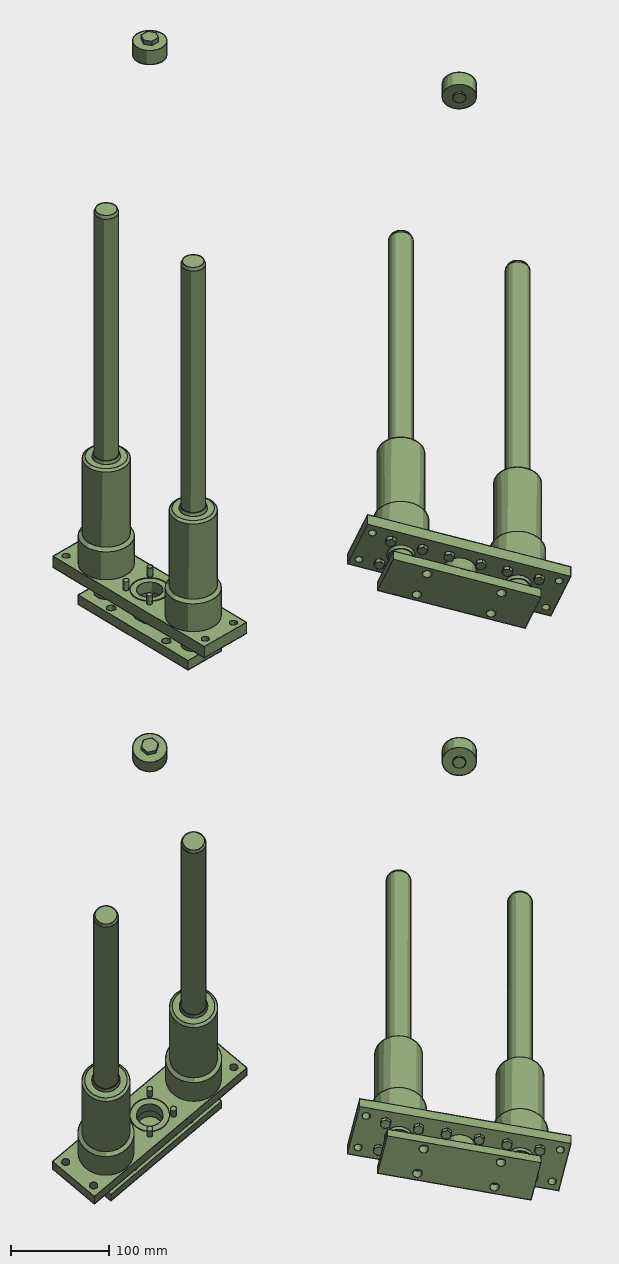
import cadquery as cq

total_height = 742.5
rod_offset = 63.0
rod_axes = (-rod_offset, rod_offset)
rod_diameter = 25.0

yoke_length = 159.5
yoke_width = 47.5
yoke_thickness = 12.0
yoke_hole_diameter = 10.0
yoke_hole_spacing_x = 80.0
yoke_hole_spacing_y = 31.0

rod_top = 493.0
rod_tip_diameter = 22.0
rod_tip_height = 4.0
coupling_diameter = 35.0
coupling_bottom = 18.5
coupling_recess_depth = 10.5
coupling_neck_diameter = 21.0

plate_length = 220.0
plate_width = 60.0
plate_thickness = 14.0
plate_bottom = 34.0
plate_top = plate_bottom + plate_thickness
plate_hole_diameter = 8.0
plate_hole_spacing_x = 202.0
plate_hole_spacing_y = 40.0
center_bore_diameter = 27.0
center_recess_diameter = 40.0
center_recess_depth = 1.0

collar_diameter = 57.0
collar_top = 86.0
collar_bevel_height = 3.0
housing_diameter = 49.0
housing_top = 183.0
housing_bevel_height = 2.0
housing_bevel_width = 3.0

wiper_base_diameter = 29.0
wiper_tip_diameter = 27.0
wiper_height = 4.0

bolt_spacing = 34.0
bolt_head_across_flats = 10.0
bolt_head_height = 4.5
bolt_shank_diameter = 6.0
bolt_shank_top = 59.5

joint_diameter = 35.0
joint_hexagon_across_flats = 15.5
joint_hexagon_height = 5.0
joint_boss_diameter = 13.0
joint_boss_height = 2.0
joint_body_height = 18.0


def cylinder(diameter, bottom, top, x=0):
    """Vertical cylinder between two heights."""
    return cq.Workplane("XY", origin=(x, 0, bottom)).circle(diameter / 2).extrude(top - bottom)


def cone(bottom_diameter, top_diameter, bottom, top, x=0):
    """Vertical truncated cone between two heights."""
    solid = cq.Solid.makeCone(bottom_diameter / 2, top_diameter / 2, top - bottom, cq.Vector(x, 0, bottom))
    return cq.Workplane(obj=solid)


def hexagon(across_flats, height):
    """Hexagonal prism on the origin with two of its flats facing +X and -X."""
    return cq.Workplane("XY").polygon(6, across_flats, circumscribed=True).extrude(height)


def plate(length, width, bottom, thickness):
    """Rectangular plate centred on the Z axis."""
    return (
        cq.Workplane("XY", origin=(0, 0, bottom))
        .rect(length, width)
        .extrude(thickness)
    )


def drill_corners(body, spacing_x, spacing_y, diameter):
    """Four through holes at the corners of a rectangle."""
    return (
        body.faces(">Z")
        .workplane(origin=(0, 0, 0))
        .rect(spacing_x, spacing_y, forConstruction=True)
        .vertices()
        .hole(diameter)
    )


def beveled_cylinder(diameter, bottom, top, bevel_width, bevel_height, x):
    """Vertical cylinder with a bevel around its top edge."""
    shoulder = top - bevel_height
    bevel = cone(diameter, diameter - 2 * bevel_width, shoulder, top, x)
    return cylinder(diameter, bottom, shoulder, x).union(bevel)


def make_housing(x):
    """Collar, tube and two wiper rings of one guide, still without its bore."""
    collar_bevel_width = (collar_diameter - housing_diameter) / 2
    collar = beveled_cylinder(
        collar_diameter, plate_top, collar_top, collar_bevel_width, collar_bevel_height, x
    )
    tube = beveled_cylinder(
        housing_diameter, collar_top, housing_top, housing_bevel_width, housing_bevel_height, x
    )
    upper_wiper = cone(wiper_base_diameter, wiper_tip_diameter, housing_top, housing_top + wiper_height, x)
    lower_wiper = cone(wiper_tip_diameter, wiper_base_diameter, plate_bottom - wiper_height, plate_bottom, x)
    return collar.union(tube).union(upper_wiper).union(lower_wiper)


def bolt_positions(x):
    """Corners of the square bolt pattern centred on X = x."""
    half = bolt_spacing / 2
    return [(x + dx, dy) for dx in (-half, half) for dy in (-half, half)]


def make_guide():
    """Guide plate with its housings and bolts."""
    body = plate(plate_length, plate_width, plate_bottom, plate_thickness)
    body = drill_corners(body, plate_hole_spacing_x, plate_hole_spacing_y, plate_hole_diameter)
    body = body.cut(cylinder(center_bore_diameter, plate_bottom, plate_top))
    body = body.cut(cylinder(center_recess_diameter, plate_top - center_recess_depth, plate_top))

    for x in rod_axes:
        body = body.union(make_housing(x))

    head = hexagon(bolt_head_across_flats, bolt_head_height)
    for pattern_x in (-rod_offset, 0, rod_offset):
        for x, y in bolt_positions(pattern_x):
            body = body.union(head.translate((x, y, plate_bottom - bolt_head_height)))

    shank = cylinder(bolt_shank_diameter, plate_bottom, bolt_shank_top)
    for x, y in bolt_positions(0):
        body = body.union(shank.translate((x, y, 0)))

    for x in rod_axes:
        body = body.cut(cylinder(rod_diameter, 0, total_height, x))
    return body


def make_slide():
    """Yoke plate with both rods and the coupling."""
    body = plate(yoke_length, yoke_width, 0, yoke_thickness)
    body = drill_corners(body, yoke_hole_spacing_x, yoke_hole_spacing_y, yoke_hole_diameter)
    for x in rod_axes:
        tip_bottom = rod_top - rod_tip_height
        body = body.union(cylinder(rod_diameter, yoke_thickness, tip_bottom, x))
        body = body.union(cone(rod_diameter, rod_tip_diameter, tip_bottom, rod_top, x))
    body = body.union(cylinder(coupling_neck_diameter, yoke_thickness, coupling_bottom))
    body = body.union(cylinder(coupling_diameter, coupling_bottom, plate_bottom))
    return body.cut(cylinder(center_bore_diameter, plate_bottom - coupling_recess_depth, plate_bottom))


def make_joint():
    """Round joint with a hexagon on top and a small boss below."""
    body_top = total_height - joint_hexagon_height
    body_bottom = body_top - joint_body_height
    body = cylinder(joint_diameter, body_bottom, body_top)
    body = body.union(hexagon(joint_hexagon_across_flats, joint_hexagon_height).translate((0, 0, body_top)))
    return body.union(cylinder(joint_boss_diameter, body_bottom - joint_boss_height, body_bottom))


guide = make_guide()
slide = make_slide()
joint = make_joint()

result = cq.Compound.makeCompound([guide.val(), slide.val(), joint.val()])